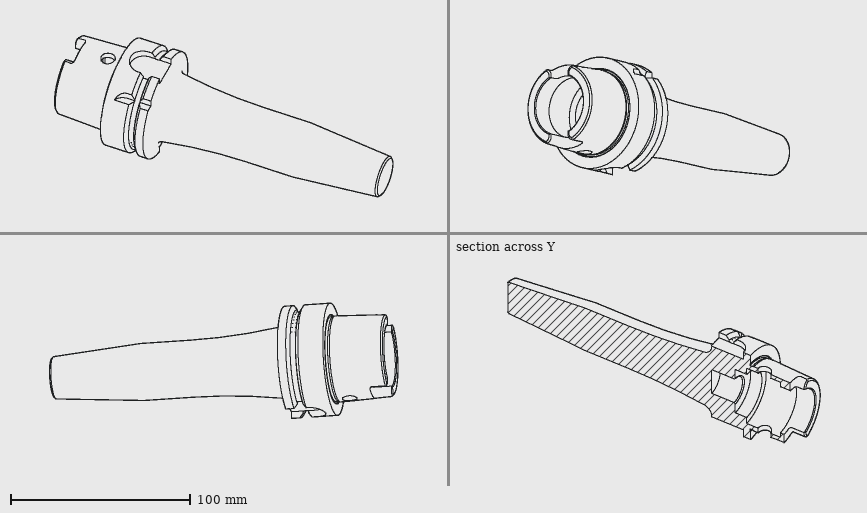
import cadquery as cq
total_length = 192.0

shank_mouth_radius = 23.0
shank_root_radius = 24.2
shank_edge_chamfer = 1.0
undercut_width = 2.3
undercut_ramp = 1.2
undercut_depth = 0.4
undercut_radius = shank_root_radius - undercut_depth
face_relief_radius = 25.2
face_relief_depth = 0.4

flange_start = 32.0
flange_end = 58.0
flange_radius = 31.5
groove_radius = 27.6
groove_start = 46.3
groove_end = 53.2
groove_floor_start = 48.2
groove_floor_end = 51.3
groove_wall_radius = 29.0
groove_fillet = 0.8

root_fillet = 5.5
root_radius = 19.8
neck_end = 112.7
cylinder_end = 141.1
cylinder_radius = 16.03
tip_radius = 12.0
tip_chamfer = 1.0

bore_radius = 17.0
mouth_chamfer = 0.5
clamp_start = 12.5
clamp_radius = 20.4
clamp_end = 34.5
seat_radius = 16.0
seat_depth = 42.0
thread_radius = 8.6
thread_chamfer = 0.8
thread_depth = 57.6

access_x = 23.0
access_radius = 4.0

notch_half_width = 6.0
notch_edge_round = 3.8
notch_round_start = 17.3
notch_floor_fillet = 1.5
notch_entry_flare = 1.2
notch_entry_depth = 0.5
top_notch_depth = 6.0
bottom_notch_depth = 10.0

keyway_start = 36.9
keyway_half_width = 8.0
keyway_floor = 26.5
slot_radius = 7.0
slot_corner = 20.2

clearance = 2.0


def revolve(profile):
    """Close a half-profile and turn it about the X axis."""
    return profile.close().revolve(360, (0, 0, 0), (1, 0, 0))


def make_body():
    """Outside of the holder: shank, flange and nose turned in one piece."""
    neck_start = flange_end + root_fillet
    neck_run = neck_end - neck_start
    neck_rise = root_radius - cylinder_radius
    neck_arc_radius = (neck_run ** 2 + neck_rise ** 2) / (2 * neck_rise)
    fillet_top = groove_radius + groove_fillet
    profile = (
        cq.Workplane("XY")
        .moveTo(0, 0)
        .lineTo(0, shank_mouth_radius - shank_edge_chamfer)
        .lineTo(shank_edge_chamfer, shank_mouth_radius)
        .lineTo(flange_start - undercut_width, shank_root_radius)
        .lineTo(flange_start - undercut_width + undercut_ramp, undercut_radius)
        .lineTo(flange_start + face_relief_depth, undercut_radius)
        .lineTo(flange_start + face_relief_depth, face_relief_radius - face_relief_depth)
        .lineTo(flange_start, face_relief_radius)
        .lineTo(flange_start, flange_radius)
        .lineTo(groove_start, flange_radius)
        .lineTo(groove_floor_start, groove_wall_radius)
        .lineTo(groove_floor_start, fillet_top)
        .radiusArc((groove_floor_start + groove_fillet, groove_radius), -groove_fillet)
        .lineTo(groove_floor_end - groove_fillet, groove_radius)
        .radiusArc((groove_floor_end, fillet_top), -groove_fillet)
        .lineTo(groove_floor_end, groove_wall_radius)
        .lineTo(groove_end, flange_radius)
        .lineTo(flange_end, flange_radius)
        .lineTo(flange_end, root_radius + root_fillet)
        .radiusArc((neck_start, root_radius), -root_fillet)
        .radiusArc((neck_end, cylinder_radius), -neck_arc_radius)
        .lineTo(cylinder_end, cylinder_radius)
        .lineTo(total_length - tip_chamfer, tip_radius)
        .lineTo(total_length, tip_radius - tip_chamfer)
        .lineTo(total_length, 0)
    )
    return revolve(profile)


def make_bore():
    """Shank bore with its clamping recess, ending in a blind thread hole."""
    profile = (
        cq.Workplane("XY")
        .moveTo(0, 0)
        .lineTo(0, bore_radius + mouth_chamfer)
        .lineTo(mouth_chamfer, bore_radius)
        .lineTo(clamp_start, bore_radius)
        .lineTo(clamp_start, clamp_radius)
        .lineTo(clamp_end, clamp_radius)
        .lineTo(clamp_end, seat_radius)
        .lineTo(seat_depth, seat_radius)
        .lineTo(seat_depth, thread_radius + thread_chamfer)
        .lineTo(seat_depth + thread_chamfer, thread_radius)
        .lineTo(thread_depth, thread_radius)
        .lineTo(thread_depth, 0)
    )
    return revolve(profile)


def make_access_hole():
    """Clamp access hole through both shank walls along Z."""
    reach = shank_root_radius + clearance
    return cq.Workplane("XY").center(access_x, 0).circle(access_radius).extrude(reach, both=True)


def add_notch_outline(plane, growth):
    """Draw the notch cross-section, its lower walls moved outward by growth.

    The rounded lug edges stay centred on the same points.
    """
    half_width = notch_half_width + growth
    edge_round = notch_edge_round - growth
    outer_half_width = half_width + edge_round
    shoulder = notch_round_start + edge_round
    top = shank_root_radius + clearance
    return (
        plane
        .moveTo(-half_width, 0)
        .lineTo(half_width, 0)
        .lineTo(half_width, notch_round_start)
        .radiusArc((outer_half_width, shoulder), edge_round)
        .lineTo(outer_half_width, top)
        .lineTo(-outer_half_width, top)
        .lineTo(-outer_half_width, shoulder)
        .radiusArc((-half_width, notch_round_start), edge_round)
        .close()
    )


def make_top_notch(depth):
    """Mouth notch at +Z with a filleted floor and a chamfered entry."""
    pocket = add_notch_outline(cq.Workplane("YZ"), 0).extrude(depth)
    pocket = pocket.faces(">X").edges().fillet(notch_floor_fillet)
    mouth = add_notch_outline(cq.Workplane("YZ"), notch_entry_flare)
    entry = add_notch_outline(mouth.workplane(offset=notch_entry_depth), 0).loft(ruled=True)
    return pocket.union(entry)


def make_round_slot(radius, center_y, floor_z):
    """Round-ended slot milled along Z, open at the nose side of the flange."""
    center_x = keyway_start + radius
    height = flange_radius + clearance - floor_z
    plane = cq.Workplane("XY").workplane(offset=floor_z)
    end = plane.center(center_x, center_y).circle(radius).extrude(height)
    straight = (
        plane.center(center_x, center_y)
        .rect(flange_end - center_x, 2 * radius, centered=(False, True))
        .extrude(height)
    )
    return end.union(straight)


def flip_below(shape):
    """Half turn about X, from the +Z side to the -Z side."""
    return shape.rotate((0, 0, 0), (1, 0, 0), 180)


keyway = make_round_slot(keyway_half_width, 0, keyway_floor)
orientation_slot = make_round_slot(slot_radius, -slot_corner - slot_radius, slot_corner)

result = (
    make_body()
    .cut(make_bore())
    .cut(make_access_hole())
    .cut(make_top_notch(top_notch_depth))
    .cut(flip_below(make_top_notch(bottom_notch_depth)))
    .cut(keyway)
    .cut(flip_below(keyway))
    .cut(orientation_slot)
)